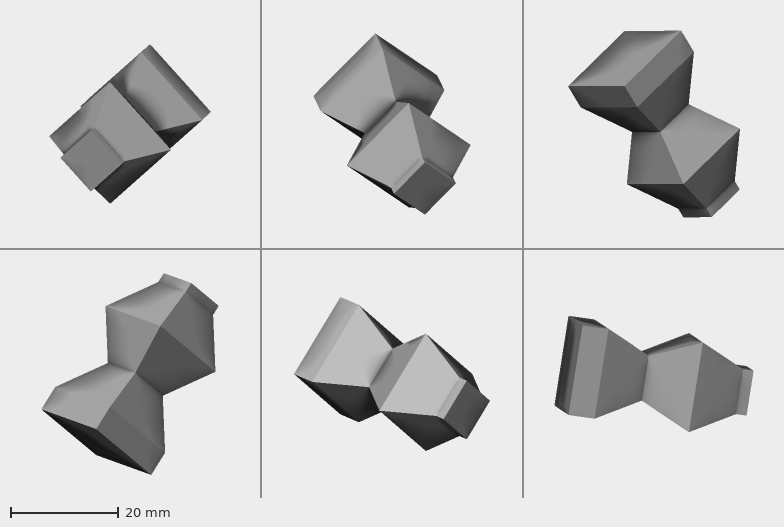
import cadquery as cq

total_length = 34.0
wide_diagonal = 24.0
narrow_diagonal = wide_diagonal / 2
tip_length = 2.0
taper_length = 9.0
taper_count = 3
base_length = total_length - tip_length - taper_count * taper_length


def square_section(distance, diagonal):
    """Square standing on a corner, at a distance from the base towards -Y."""
    half = diagonal / 2
    corners = [(half, 0), (0, half), (-half, 0), (0, -half)]
    return cq.Wire.makePolygon([cq.Vector(x, -distance, z) for x, z in corners], close=True)


waist = base_length + taper_length
belly = waist + taper_length
tip_start = belly + taper_length
sections = [
    square_section(0, wide_diagonal),
    square_section(base_length, wide_diagonal),
    square_section(waist, narrow_diagonal),
    square_section(belly, wide_diagonal),
    square_section(tip_start, narrow_diagonal),
    square_section(total_length, narrow_diagonal),
]

result = cq.Workplane(obj=cq.Solid.makeLoft(sections, True))